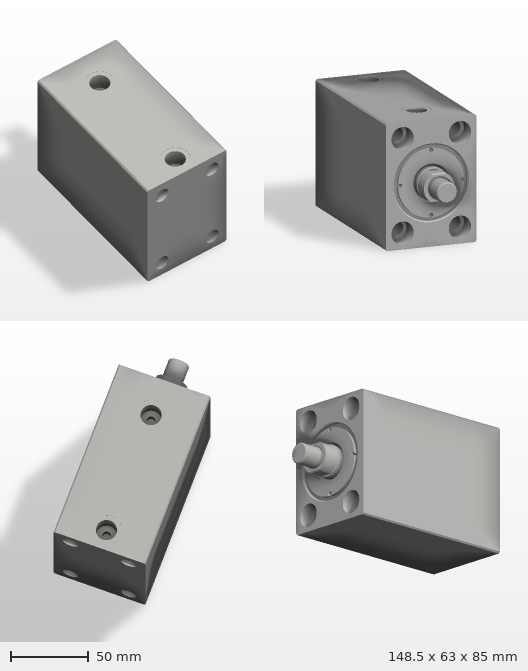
import cadquery as cq
import math


HOUSING_LENGTH = 121.0
HOUSING_WIDTH = 63.0
HOUSING_HEIGHT = 85.0
EDGE_CHAMFER = 1.0

MOUNT_SPACING_Y = 39.8
MOUNT_SPACING_Z = 63.0
MOUNT_DIAMETER = 10.5
COUNTERBORE_DIAMETER = 15.5
COUNTERBORE_DEPTH = 11.9

FRONT_PORT_X = 25.1
PORT_SPACING = 83.0
SPOTFACE_DIAMETER = 20.0
SPOTFACE_DEPTH = 0.1
PORT_DIAMETER = 13.7
PORT_DEPTH = 11.9
OIL_HOLE_DIAMETER = 5.8

GLAND_RADIUS = 25.4
GLAND_LENGTH = 35.6
GLAND_MOUTH_CHAMFER = 0.9
GLAND_FACE_RADIUS = 23.0
GLAND_STEP = 2.0
GLAND_BORE_CHAMFER = 1.6
SPANNER_HOLE_COUNT = 4
SPANNER_HOLE_RADIUS = 1.5
SPANNER_HOLE_DEPTH = 2.2
SPANNER_PITCH_RADIUS = 21.7
DRILL_POINT_ANGLE = 118.0

ROD_RADIUS = 11.1
COLLAR_LENGTH = 3.5
COLLAR_CHAMFER = 0.6
WRENCH_RADIUS = 10.5
WRENCH_LENGTH = 10.0
WRENCH_FLATS = 19.3
FLAT_CHAMFER = 0.7
STUD_RECESS_RADIUS = 7.9
STUD_RECESS_DEPTH = 0.7

STUD_RADIUS = 7.0
STUD_PROTRUSION = 14.0
STUD_ENGAGEMENT = STUD_PROTRUSION
STUD_CHAMFER = 0.7

COLLAR_FRONT = -COLLAR_LENGTH
WRENCH_FRONT = COLLAR_FRONT - WRENCH_LENGTH
STUD_FRONT = WRENCH_FRONT - STUD_PROTRUSION


def x_cylinder(radius, start, length):
    """Cylinder on the part axis, from X = start toward +X."""
    return cq.Workplane("YZ", origin=(start, 0, 0)).circle(radius).extrude(length)


def x_cone(start_radius, end_radius, start, length):
    """Cone or truncated cone on the part axis, from X = start toward +X."""
    return cq.Workplane(cq.Solid.makeCone(
        start_radius, end_radius, length, cq.Vector(start, 0, 0), cq.Vector(1, 0, 0)
    ))


def down_cylinder(diameter, x, top, depth):
    """Vertical cylinder at Y = 0, from Z = top downward."""
    return cq.Workplane("XY", origin=(x, 0, top)).circle(diameter / 2).extrude(-depth)


def cut_mounting_holes(block):
    return (
        block.faces("<X").workplane(origin=(0, 0, 0))
        .rect(MOUNT_SPACING_Y, MOUNT_SPACING_Z, forConstruction=True).vertices()
        .cboreHole(MOUNT_DIAMETER, COUNTERBORE_DIAMETER, COUNTERBORE_DEPTH)
    )


def cut_port(block, x):
    """Spotfaced port whose oil hole goes down to the level of the gland surface."""
    top = HOUSING_HEIGHT / 2
    block = block.cut(down_cylinder(SPOTFACE_DIAMETER, x, top, SPOTFACE_DEPTH))
    block = block.cut(down_cylinder(PORT_DIAMETER, x, top, PORT_DEPTH))
    return block.cut(down_cylinder(OIL_HOLE_DIAMETER, x, top, top - GLAND_RADIUS))


def cut_gland_seat(block):
    mouth_radius = GLAND_RADIUS + GLAND_MOUTH_CHAMFER
    block = block.cut(x_cylinder(GLAND_RADIUS, 0, GLAND_LENGTH))
    return block.cut(x_cone(mouth_radius, GLAND_RADIUS, 0, GLAND_MOUTH_CHAMFER))


def make_housing():
    block = cq.Workplane("XY").box(
        HOUSING_LENGTH, HOUSING_WIDTH, HOUSING_HEIGHT, centered=(False, True, True)
    )
    block = block.edges("|X").chamfer(EDGE_CHAMFER)
    block = cut_mounting_holes(block)
    for x in (FRONT_PORT_X, FRONT_PORT_X + PORT_SPACING):
        block = cut_port(block, x)
    return cut_gland_seat(block)


def make_spanner_hole(angle):
    """Drilled hole with a conical bottom in the gland face."""
    point_depth = SPANNER_HOLE_RADIUS / math.tan(math.radians(DRILL_POINT_ANGLE / 2))
    hole = x_cylinder(SPANNER_HOLE_RADIUS, 0, SPANNER_HOLE_DEPTH)
    hole = hole.union(x_cone(SPANNER_HOLE_RADIUS, 0, SPANNER_HOLE_DEPTH, point_depth))
    return hole.translate((0, 0, SPANNER_PITCH_RADIUS)).rotate((0, 0, 0), (1, 0, 0), angle)


def make_gland():
    """Round plug with a raised front face, bored for the rod."""
    gland = x_cylinder(GLAND_FACE_RADIUS, 0, GLAND_LENGTH)
    gland = gland.union(x_cylinder(GLAND_RADIUS, GLAND_STEP, GLAND_LENGTH - GLAND_STEP))
    gland = gland.cut(x_cylinder(ROD_RADIUS, 0, GLAND_LENGTH))
    bore_mouth_radius = ROD_RADIUS + GLAND_BORE_CHAMFER
    gland = gland.cut(x_cone(bore_mouth_radius, ROD_RADIUS, 0, GLAND_BORE_CHAMFER))
    for index in range(SPANNER_HOLE_COUNT):
        gland = gland.cut(make_spanner_hole(index * 360 / SPANNER_HOLE_COUNT))
    return gland


def make_rod():
    """Rod with a two-flat wrench section and a recessed socket for the stud."""
    shank = x_cylinder(ROD_RADIUS, COLLAR_FRONT, COLLAR_LENGTH + GLAND_LENGTH)
    shank = shank.faces("<X").edges().chamfer(COLLAR_CHAMFER)
    flats = cq.Workplane("XY").box(
        WRENCH_LENGTH, 2 * WRENCH_RADIUS, WRENCH_FLATS, centered=(False, True, True)
    ).translate((WRENCH_FRONT, 0, 0))
    flats = flats.faces("<X").edges("|Y").chamfer(FLAT_CHAMFER)
    wrench_section = x_cylinder(WRENCH_RADIUS, WRENCH_FRONT, WRENCH_LENGTH).intersect(flats)
    rod = shank.union(wrench_section)
    rod = rod.cut(x_cylinder(STUD_RECESS_RADIUS, WRENCH_FRONT, STUD_RECESS_DEPTH))
    return rod.cut(x_cylinder(STUD_RADIUS, WRENCH_FRONT, STUD_ENGAGEMENT))


def make_stud():
    stud = x_cylinder(STUD_RADIUS, STUD_FRONT, STUD_PROTRUSION + STUD_ENGAGEMENT)
    return stud.faces("<X").edges().chamfer(STUD_CHAMFER)


housing = make_housing().solids().val()
gland = make_gland().solids().val()
rod = make_rod().solids().val()
stud = make_stud().solids().val()

result = cq.Compound.makeCompound([housing, gland, rod, stud])